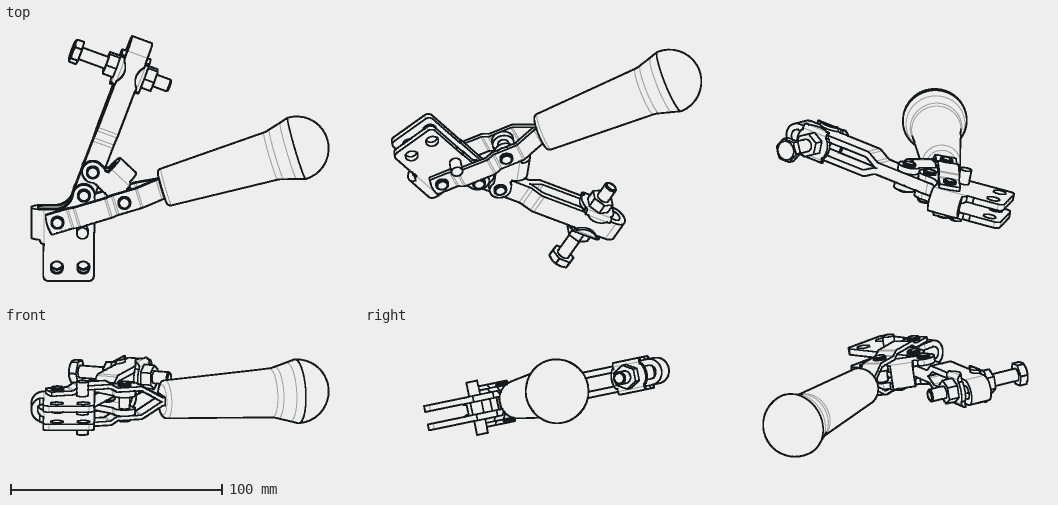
import cadquery as cq
import math

TILT = 11.7

SHEET = 3.0
STRAP_SHEET = 2.0
ARM_FACE = SHEET
BASE_FACE = ARM_FACE + SHEET
STRAP_FACE = BASE_FACE + STRAP_SHEET
EAR_RADIUS = 5.0

HANDLE_ANGLE = 16.8
LINK_PIVOT_REACH = 33.0
ARM_PIVOT = (12.5, 12.6)
ARM_ANGLE = 69.5
LINK_PIVOT_ON_ARM = 12.0

PIN_RADIUS = 2.5
HEAD_RADIUS = 3.0
LINK_HEAD = 1.1
BASE_HEAD = 1.3
BASE_TAIL = 2.4
STRAP_HEAD = 1.3
HEAD_CHAMFER = 0.5
STOP_PIN = (11.8, -4.2)
STOP_PIN_RADIUS = 2.7
STOP_PIN_HALF_LENGTH = 12.6

FOOT_LEFT = -6.7
FOOT_RIGHT = 17.3
FOOT_BOTTOM = -28.7
FOOT_TOP = -5.2
FOOT_LEFT_TOP = -14.0
FOOT_CORNER = 2.5
BASE_SHOULDER = 5.8
SHOULDER_ARC = 8.7
BASE_BEND_X = -6.5
BASE_BEND_BOTTOM = -8.9
BASE_BEND_ROOT = 2.0
MOUNT_HOLE_RADIUS = 3.0
MOUNT_HOLE_PITCH = 12.5
MOUNT_HOLE_START = (-0.3, -22.2)

ARM_SPREAD = 3.2
ARM_JOG_START = 27.3
ARM_JOG_END = 33.0
ARM_BEND = 72.7
ARM_BEND_RADIUS = 3.7
ARM_END_ROUND = 2.1
ARM_TIP_FACE = ARM_SPREAD + SHEET

BOLT_STATION = 62.5
BOLT_RADIUS = 3.0
BOLT_END = 19.8
BOLT_TIP_CHAMFER = 0.5
HEX_ACROSS_FLATS = 10.0
HEAD_START = -29.4
HEAD_HEIGHT = 4.1
HEX_CHAMFER_FACE = 4.5
HEX_CHAMFER_HEIGHT = 0.7
NUT_HEIGHT = 5.0
WASHER_RADIUS = 8.7
WASHER_THICKNESS = 2.0
FLANGE_THICKNESS = 1.5
FLANGE_HALF_LENGTH = 6.7
FLANGE_DEPTH = 4.1
FLANGE_ROOT = 1.4
FLANGE_BEND_RADIUS = 1.8

LINK_BEND_START = 5.5
LINK_BEND_END = 16.0
LINK_BEND_ROOT = 1.3
LINK_INNER_EDGE = 3.4
LINK_NECK_RADIUS = 2.1
LINK_BEND_OFFSET = 7.2
RELIEF_RADIUS = 1.4
RELIEF_OFFSET = 5.9

STRAP_HALF_WIDTH = 4.9
STRAP_TAIL = 4.4
STRAP_TAIL_BULGE = 0.7
STRAP_RISE_START = 6.7
STRAP_RISE_END = 10.0
STRAP_DROP_START = 24.6
STRAP_DROP_END = 27.8
STRAP_CLOSE_START = 39.8
STRAP_CLOSE_END = 49.9
STRAP_END = 63.2
STRAP_BEND_RADIUS = 1.7

GRIP_START = 51.7
GRIP_START_RADIUS = 9.0
GRIP_EDGE_ROUND = 2.0
GRIP_WAIST = 105.1
GRIP_WAIST_RADIUS = 11.7
GRIP_WAIST_END = 108.0
GRIP_WAIST_END_RADIUS = 12.2
GRIP_FLARE = 113.8
GRIP_FLARE_RADIUS = 13.9
BALL_CENTRE = 118.0
BALL_RADIUS = 15.2


def along(start, angle, distance):
    """Point at a distance from start in the direction of angle (degrees)."""
    a = math.radians(angle)
    return (start[0] + distance * math.cos(a), start[1] + distance * math.sin(a))


def place(shape, origin, angle):
    """Turn a shape built along X about Z and move it to origin."""
    return shape.rotate((0, 0, 0), (0, 0, 1), angle).translate((origin[0], origin[1], 0))


def both_sides(shape):
    """Add the mirror image below the mid plane."""
    return shape.union(shape.mirror("XY"))


def disc_x(radius, start, length):
    return cq.Workplane("YZ").workplane(offset=start).circle(radius).extrude(length)


def u_bend(outer_radius, y_from, y_to, root_radius=0):
    """Half tube joining two parallel plates, bulging towards +X.

    With a root radius the far end runs out along the plate edges in a rounded corner.
    """
    inner_radius = outer_radius - SHEET
    tube = (
        cq.Workplane("XZ", origin=(0, y_from, 0))
        .moveTo(0, -outer_radius)
        .threePointArc((outer_radius, 0), (0, outer_radius))
        .lineTo(0, inner_radius)
        .threePointArc((inner_radius, 0), (0, -inner_radius))
        .close()
        .extrude(-(y_to + root_radius - y_from))
    )
    if root_radius == 0:
        return tube
    beyond = 2 * outer_radius
    waste = (
        cq.Workplane("XY", origin=(0, 0, -outer_radius))
        .moveTo(0, y_to + root_radius)
        .radiusArc((root_radius, y_to), root_radius)
        .lineTo(beyond, y_to)
        .lineTo(beyond, y_to + root_radius)
        .close()
        .extrude(2 * outer_radius)
    )
    return tube.cut(waste)


def bent_strip(inner_points, thickness, half_width, bend_radius):
    """Flat strip along X whose lower face follows inner_points in XZ."""
    outer_points = []
    last = len(inner_points) - 1
    for i, (x, z) in enumerate(inner_points):
        before, after = inner_points[max(i - 1, 0)], inner_points[min(i + 1, last)]
        slope_in = math.atan2(z - before[1], x - before[0])
        slope_out = math.atan2(after[1] - z, after[0] - x)
        if i == 0:
            slope_in = slope_out
        if i == last:
            slope_out = slope_in
        mean = (slope_in + slope_out) / 2
        miter = thickness / math.cos((slope_out - slope_in) / 2)
        outer_points.append((x - miter * math.sin(mean), z + miter * math.cos(mean)))
    strip = (
        cq.Workplane("XZ")
        .polyline(inner_points + outer_points[::-1])
        .close()
        .extrude(half_width, both=True)
    )
    return strip.edges("|Y").edges("not(<X or >X)").fillet(bend_radius)


def pin_head(centre, face, height):
    return (
        cq.Workplane("XY", origin=(*centre, face))
        .circle(HEAD_RADIUS)
        .extrude(height)
        .faces(">Z")
        .chamfer(HEAD_CHAMFER)
    )


def pivot_pin(centre, face, top_height, bottom_height):
    """Shank through the whole stack with a head on each outer face."""
    shank = cq.Workplane("XY").center(*centre).circle(PIN_RADIUS).extrude(face, both=True)
    top = pin_head(centre, face, top_height)
    bottom = pin_head(centre, face, bottom_height).mirror("XY")
    return shank.union(top).union(bottom)


def make_base():
    px, py = ARM_PIVOT
    arc_y = BASE_SHOULDER + SHOULDER_ARC
    reach = SHOULDER_ARC + EAR_RADIUS
    arc_x = px - math.sqrt(reach**2 - (arc_y - py) ** 2)
    touch_angle = math.degrees(math.atan2(py - arc_y, px - arc_x))
    touch = along((arc_x, arc_y), touch_angle, SHOULDER_ARC)
    arc_middle = along((arc_x, arc_y), (touch_angle - 90) / 2, SHOULDER_ARC)
    ear_right = px + EAR_RADIUS
    plate = (
        cq.Workplane("XY", origin=(0, 0, BASE_FACE - SHEET))
        .moveTo(FOOT_LEFT, FOOT_BOTTOM)
        .lineTo(FOOT_RIGHT, FOOT_BOTTOM)
        .lineTo(FOOT_RIGHT, FOOT_TOP)
        .lineTo(ear_right, FOOT_TOP)
        .lineTo(ear_right, py)
        .threePointArc((px, py + EAR_RADIUS), touch)
        .threePointArc(arc_middle, (arc_x, BASE_SHOULDER))
        .lineTo(BASE_BEND_X, BASE_SHOULDER)
        .lineTo(BASE_BEND_X, FOOT_LEFT_TOP)
        .lineTo(FOOT_LEFT, FOOT_LEFT_TOP)
        .close()
        .extrude(SHEET)
        .edges("|Z and <Y")
        .fillet(FOOT_CORNER)
    )
    bend = u_bend(BASE_FACE, -BASE_SHOULDER, -BASE_BEND_BOTTOM, BASE_BEND_ROOT)
    base = both_sides(plate).union(place(bend, (BASE_BEND_X, 0), 180))
    hole_x, hole_y = MOUNT_HOLE_START
    holes = (
        cq.Workplane("XY")
        .pushPoints([(hole_x + i * MOUNT_HOLE_PITCH, hole_y) for i in range(2)])
        .circle(MOUNT_HOLE_RADIUS)
        .extrude(BASE_FACE, both=True)
    )
    return base.cut(holes)


def make_arm():
    plate = bent_strip(
        [(-EAR_RADIUS, 0), (ARM_JOG_START, 0), (ARM_JOG_END, ARM_SPREAD), (ARM_BEND, ARM_SPREAD)],
        SHEET,
        EAR_RADIUS,
        ARM_BEND_RADIUS,
    )
    plate = plate.edges("|Z and <X").fillet(ARM_END_ROUND)
    tip = u_bend(ARM_TIP_FACE, -EAR_RADIUS, EAR_RADIUS).translate((ARM_BEND, 0, 0))
    return both_sides(plate).union(tip)


def hexagon(start, length, turn):
    """Hexagonal prism along X, turned about X by an angle in degrees."""
    across_corners = HEX_ACROSS_FLATS / math.cos(math.radians(30))
    prism = cq.Workplane("YZ").polygon(6, across_corners).extrude(length)
    return prism.rotate((0, 0, 0), (1, 0, 0), turn).translate((start, 0, 0))


def flanged_washer():
    """Washer against the arm edge on +X, with a lip folded over each arm face."""
    outer_x = EAR_RADIUS + WASHER_THICKNESS
    lip_top = ARM_TIP_FACE + FLANGE_THICKNESS
    lip_root = ARM_TIP_FACE - FLANGE_ROOT
    disc = disc_x(WASHER_RADIUS, EAR_RADIUS, WASHER_THICKNESS)
    band = cq.Workplane("XY").box(2 * WASHER_RADIUS, 2 * WASHER_RADIUS, 2 * lip_root)
    upright = (
        cq.Workplane("XY", origin=(0, 0, lip_root))
        .moveTo(EAR_RADIUS, -FLANGE_HALF_LENGTH)
        .rect(WASHER_THICKNESS, 2 * FLANGE_HALF_LENGTH, centered=False)
        .extrude(lip_top - lip_root)
    )
    lip = (
        cq.Workplane("XY", origin=(0, 0, ARM_TIP_FACE))
        .moveTo(outer_x, -FLANGE_HALF_LENGTH)
        .threePointArc((outer_x - FLANGE_DEPTH, 0), (outer_x, FLANGE_HALF_LENGTH))
        .close()
        .extrude(FLANGE_THICKNESS)
    )
    flange = upright.union(lip).edges(">X and >Z").fillet(FLANGE_BEND_RADIUS)
    return disc.intersect(band).union(both_sides(flange))


def make_bolt():
    """Bolt along X with its nuts and washers, centred on the arm axis."""
    bolt = disc_x(BOLT_RADIUS, HEAD_START + HEAD_HEIGHT, BOLT_END - HEAD_START - HEAD_HEIGHT)
    bolt = bolt.faces(">X").chamfer(BOLT_TIP_CHAMFER)
    chamfer_growth = HEX_CHAMFER_HEIGHT / math.tan(math.radians(30))
    chamfer_cone = (
        disc_x(HEX_CHAMFER_FACE + chamfer_growth, HEAD_START, HEAD_HEIGHT)
        .faces("<X")
        .chamfer(HEX_CHAMFER_HEIGHT, chamfer_growth)
    )
    head = hexagon(HEAD_START, HEAD_HEIGHT, 0).intersect(chamfer_cone)
    nut = hexagon(EAR_RADIUS + WASHER_THICKNESS, NUT_HEIGHT, 30)
    clamp_set = nut.union(flanged_washer())
    return bolt.union(head).union(clamp_set).union(clamp_set.mirror("YZ"))


def make_link(length):
    """Link along X from its arm pivot to its handle pivot, folded on the +Y side."""
    tab_end = LINK_BEND_END + LINK_BEND_ROOT
    bar = (
        cq.Workplane("XY")
        .moveTo(0, -LINK_INNER_EDGE)
        .rect(length, LINK_INNER_EDGE + EAR_RADIUS, centered=False)
        .extrude(SHEET)
    )
    ears = cq.Workplane("XY").pushPoints([(0, 0), (length, 0)]).circle(EAR_RADIUS).extrude(SHEET)
    tolerance = 0.1
    neck_corners = cq.selectors.BoxSelector(
        (0, -LINK_INNER_EDGE - tolerance, 0), (length, -LINK_INNER_EDGE + tolerance, SHEET)
    )
    plate = bar.union(ears).edges("|Z").edges(neck_corners).fillet(LINK_NECK_RADIUS)
    tab = (
        cq.Workplane("XY")
        .moveTo(LINK_BEND_START, 0)
        .rect(tab_end - LINK_BEND_START, LINK_BEND_OFFSET, centered=False)
        .extrude(SHEET)
    )
    relief = (
        cq.Workplane("XY")
        .center(LINK_BEND_START - RELIEF_RADIUS, RELIEF_OFFSET)
        .circle(RELIEF_RADIUS)
        .extrude(SHEET)
    )
    plate = plate.union(tab).cut(relief).translate((0, 0, BASE_FACE - SHEET))
    fold = u_bend(BASE_FACE, LINK_BEND_START, LINK_BEND_END, LINK_BEND_ROOT).mirror("XZ")
    fold = place(fold, (0, LINK_BEND_OFFSET), 90)
    return both_sides(plate).union(fold)


def make_straps():
    strap = bent_strip(
        [
            (-STRAP_TAIL, BASE_FACE),
            (STRAP_RISE_START, BASE_FACE),
            (STRAP_RISE_END, STRAP_FACE),
            (STRAP_DROP_START, STRAP_FACE),
            (STRAP_DROP_END, BASE_FACE),
            (STRAP_CLOSE_START, BASE_FACE),
            (STRAP_CLOSE_END, 0),
            (STRAP_END, 0),
        ],
        STRAP_SHEET,
        STRAP_HALF_WIDTH,
        STRAP_BEND_RADIUS,
    )
    tail = (
        cq.Workplane("XY", origin=(0, 0, BASE_FACE))
        .moveTo(-STRAP_TAIL, -STRAP_HALF_WIDTH)
        .threePointArc((-STRAP_TAIL - STRAP_TAIL_BULGE, 0), (-STRAP_TAIL, STRAP_HALF_WIDTH))
        .close()
        .extrude(STRAP_SHEET)
    )
    return both_sides(strap.union(tail))


def make_grip():
    """Tapered grip revolved about X, flaring into a ball end."""
    diagonal = BALL_RADIUS * math.cos(math.radians(45))
    grip = (
        cq.Workplane("XY")
        .moveTo(GRIP_START, 0)
        .lineTo(GRIP_START, GRIP_START_RADIUS)
        .lineTo(GRIP_WAIST, GRIP_WAIST_RADIUS)
        .tangentArcPoint((GRIP_WAIST_END, GRIP_WAIST_END_RADIUS), relative=False)
        .lineTo(GRIP_FLARE, GRIP_FLARE_RADIUS)
        .tangentArcPoint((BALL_CENTRE, BALL_RADIUS), relative=False)
        .threePointArc((BALL_CENTRE + diagonal, diagonal), (BALL_CENTRE + BALL_RADIUS, 0))
        .close()
        .revolve(360, (0, 0, 0), (1, 0, 0))
    )
    return grip.faces("<X").edges().fillet(GRIP_EDGE_ROUND)


handle_pivot = (0, 0)
link_arm_pivot = along(ARM_PIVOT, ARM_ANGLE, LINK_PIVOT_ON_ARM)
link_handle_pivot = along(handle_pivot, HANDLE_ANGLE, LINK_PIVOT_REACH)
link_dx = link_handle_pivot[0] - link_arm_pivot[0]
link_dy = link_handle_pivot[1] - link_arm_pivot[1]
link_angle = math.degrees(math.atan2(link_dy, link_dx))
bolt_centre = along(ARM_PIVOT, ARM_ANGLE, BOLT_STATION)
stop_pin = cq.Workplane("XY").center(*STOP_PIN).circle(STOP_PIN_RADIUS)

components = [
    place(make_arm(), ARM_PIVOT, ARM_ANGLE),
    place(make_bolt(), bolt_centre, ARM_ANGLE - 90),
    place(make_link(math.hypot(link_dx, link_dy)), link_arm_pivot, link_angle),
    place(make_straps(), handle_pivot, HANDLE_ANGLE),
    place(make_grip(), handle_pivot, HANDLE_ANGLE),
    pivot_pin(ARM_PIVOT, BASE_FACE, BASE_HEAD, BASE_TAIL),
    pivot_pin(link_arm_pivot, BASE_FACE, LINK_HEAD, LINK_HEAD),
    pivot_pin(handle_pivot, STRAP_FACE, STRAP_HEAD, STRAP_HEAD),
    pivot_pin(link_handle_pivot, STRAP_FACE, STRAP_HEAD, STRAP_HEAD),
    stop_pin.extrude(STOP_PIN_HALF_LENGTH, both=True),
]
clamp = make_base()
for component in components:
    clamp = clamp.union(component)

result = clamp.rotate((0, 0, 0), (1, 0, 0), TILT)